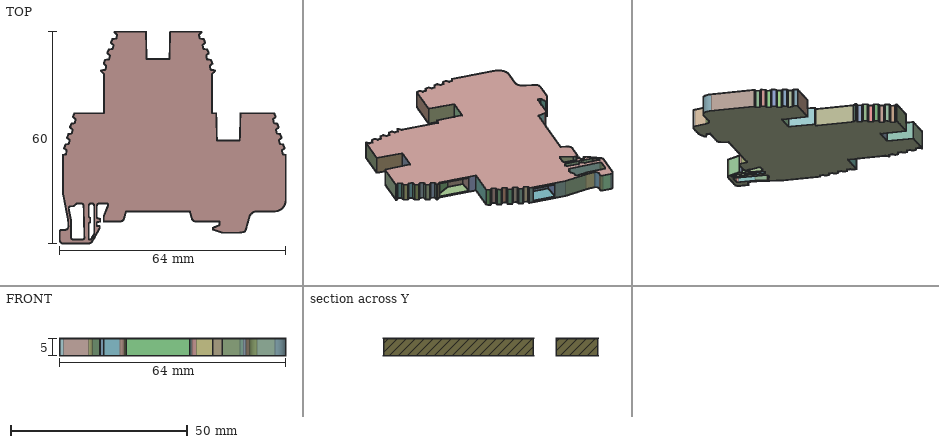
import cadquery as cq

THICKNESS = 5.0
TOP_Y = 60.0
SHELF_Y = 36.95

TOWER_HALF_WIDTH = 15.3
TOWER_WALL_TOP_Y = 48.0

BODY_AXIS_X = 4.6
BODY_HALF_WIDTH = 31.55
BODY_LEFT_X = BODY_AXIS_X - BODY_HALF_WIDTH
BODY_RIGHT_X = BODY_AXIS_X + BODY_HALF_WIDTH
BODY_UNDERSIDE_Y = 9.1
RAIL_SEAT_Y = 6.2
BODY_CORNER_RADIUS = 3.2
RAIL_SEAT_RADIUS = 1.35

CORNER_REACH = 0.03

TOOTH_PITCH = 2.95
TOOTH_TIP = (0.45, -1.1)
TOOTH_ROOT = (-0.3, -1.7)
TOOTH_HEEL = (-0.05, -2.8)
TEETH_PER_FLANK = 4
BARB_NOSE = 0.2
TOWER_TOOTH_STEP = 1.0
TOWER_FIRST_TOOTH = (11.9, 60.9)
BODY_TOOTH_STEP = 0.85
BODY_FIRST_TOOTH = (28.3, SHELF_Y)

CLAW_BOTTOM_Y = 3.1
CLAW_TIP_X = 15.5
CLAW_THROAT_X = 17.35

FOOT_LEFT_X = -27.85
FOOT_SHOULDER_Y = 3.9
LEG_OUTER_X = -25.4
SPRING_FACE_X = -17.3
FOOT_TOP_Y = 11.35
FOOT_FLOOR_Y = 1.2
FOOT_STEP_Y = 10.55
GAP_RIGHT_X = -15.4

SLOT_DEPTH = 7.7
SLOT_MOUTH_HALF = 3.4
SLOT_FLOOR_HALF = 3.2
TOWER_SLOT_X = 0
SHELF_SLOT_X = 19.9

TOWER_POCKET_TOP_Y = 47.95
TOWER_POCKET_BOTTOM_Y = 39.05
TOWER_POCKET_WIDTH = 4.2
TOWER_POCKET_LEDGE = 1.0
TOWER_POCKET_SLOPE_END_Y = 44.05
TOWER_POCKET_DEPTH = 4.0
TOWER_POCKET_DRAFT = 0.4

BODY_POCKET_Y = 20.7
BODY_POCKET_LENGTH = 6.5
BODY_POCKET_WIDTH = 3.85
BODY_POCKET_DEPTH = 3.7
BODY_POCKET_TAPER = 0.65


def flank(first_corner, step):
    """Tooth points down a right-hand flank, as (distance from the axis, Y)."""
    points = []
    for i in range(TEETH_PER_FLANK):
        corner = (first_corner[0] + i * step, first_corner[1] - i * TOOTH_PITCH)
        for du, dy in ((0, 0), TOOTH_TIP, TOOTH_ROOT, TOOTH_HEEL):
            points.append((corner[0] + du, corner[1] + dy))
    return points


def tower_flank():
    """Tower flank with the first tooth cut off by the flat top."""
    corner, tip, *rest = flank(TOWER_FIRST_TOOTH, TOWER_TOOTH_STEP)
    crest_fraction = (corner[1] - TOP_Y) / (corner[1] - tip[1])
    crest = (corner[0] + crest_fraction * (tip[0] - corner[0]), TOP_Y)
    barb_y = TOWER_FIRST_TOOTH[1] - TEETH_PER_FLANK * TOOTH_PITCH
    barb_u = TOWER_FIRST_TOOTH[0] + TEETH_PER_FLANK * TOWER_TOOTH_STEP
    barb = [(barb_u, barb_y), (barb_u + BARB_NOSE, barb_y - BARB_NOSE)]
    wall = [(TOWER_HALF_WIDTH, TOWER_WALL_TOP_Y), (TOWER_HALF_WIDTH, SHELF_Y)]
    return [crest, tip] + rest + barb + wall


def body_flank():
    """Body flank, ending on the vertical side wall."""
    wall_top_y = SHELF_Y - TEETH_PER_FLANK * TOOTH_PITCH
    return flank(BODY_FIRST_TOOTH, BODY_TOOTH_STEP) + [(BODY_HALF_WIDTH, wall_top_y)]


def place(points, axis_x, side):
    """Put flank points on the right (side = 1) or left (side = -1) of an axis."""
    return [(axis_x + side * u, y) for u, y in points]


def prism(points):
    """Solid of full thickness over a closed XY outline, centred on Z = 0."""
    return cq.Workplane("XY").polyline(points).close().extrude(THICKNESS / 2, both=True)


def round_corners(solid, corners, radius):
    """Fillet the through-thickness edges that stand on the given XY points."""
    for x, y in corners:
        low = (x - CORNER_REACH, y - CORNER_REACH, -THICKNESS)
        high = (x + CORNER_REACH, y + CORNER_REACH, THICKNESS)
        solid = solid.edges("|Z").edges(cq.selectors.BoxSelector(low, high)).fillet(radius)
    return solid


def housing():
    """Plate outline with its rounded corners, before any pocket or slot."""
    right = place(tower_flank(), 0, 1) + place(body_flank(), BODY_AXIS_X, 1)
    left = place(tower_flank(), 0, -1) + place(body_flank(), BODY_AXIS_X, -1)
    body_corner = (BODY_RIGHT_X, BODY_UNDERSIDE_Y)
    claw_root = (26.3, BODY_UNDERSIDE_Y)
    claw_heel = (24.7, 3.3)
    claw_sole = [(23.1, CLAW_BOTTOM_Y), (18.2, CLAW_BOTTOM_Y)]
    claw_tip = [(CLAW_TIP_X, 4.0), (CLAW_TIP_X, 4.5)]
    claw_throat = [(CLAW_THROAT_X, 5.25), (CLAW_THROAT_X, RAIL_SEAT_Y)]
    right_seat = (9.8, RAIL_SEAT_Y)
    rail_recess = [(8.95, BODY_UNDERSIDE_Y), (-9.0, BODY_UNDERSIDE_Y)]
    left_seat = (-9.85, RAIL_SEAT_Y)
    gap_edge = [(GAP_RIGHT_X, RAIL_SEAT_Y), (GAP_RIGHT_X, 7.7)]
    gap_top_right = (-13.95, FOOT_TOP_Y)
    gap_top_left = (SPRING_FACE_X, FOOT_TOP_Y)
    nib = [(SPRING_FACE_X, 7.3), (-16.3, 7.0), (-16.3, 6.2), (SPRING_FACE_X, 6.0)]
    catch = [(SPRING_FACE_X, 5.0), (-16.45, 5.0), (-16.45, 4.4)]
    foot_toe = (-18.95, 0)
    foot_heel = (FOOT_LEFT_X, 0)
    foot_shoulder = (FOOT_LEFT_X, FOOT_SHOULDER_Y)
    leg_root = (LEG_OUTER_X, FOOT_SHOULDER_Y)
    leg_bend = (LEG_OUTER_X, 6.35)
    leg_top = (BODY_LEFT_X, 14.3)

    outline = right + [body_corner, claw_root, claw_heel] + claw_sole + claw_tip + claw_throat
    outline += [right_seat] + rail_recess + [left_seat] + gap_edge + [gap_top_right, gap_top_left]
    outline += nib + catch + [foot_toe, foot_heel, foot_shoulder, leg_root, leg_bend, leg_top]
    outline += left[::-1]

    solid = prism(outline)
    fillets = [
        (body_corner, BODY_CORNER_RADIUS),
        (claw_root, 2.2),
        (claw_heel, 1.0),
        (right_seat, RAIL_SEAT_RADIUS),
        (left_seat, RAIL_SEAT_RADIUS),
        (gap_top_right, 0.3),
        (gap_top_left, 0.65),
        (catch[1], 0.25),
        (foot_toe, 1.35),
        (foot_heel, 1.0),
        (foot_shoulder, 0.5),
        (leg_root, 0.95),
        (leg_bend, 14.1),
    ]
    for corner, radius in fillets:
        solid = round_corners(solid, [corner], radius)
    return solid


def wire_slot(center_x, mouth_y):
    """Tapered wire entry that opens upward at mouth_y."""
    floor_y = mouth_y - SLOT_DEPTH
    return prism([
        (center_x - SLOT_MOUTH_HALF, mouth_y),
        (center_x + SLOT_MOUTH_HALF, mouth_y),
        (center_x + SLOT_FLOOR_HALF, floor_y),
        (center_x - SLOT_FLOOR_HALF, floor_y),
    ])


def foot_window():
    """Wide opening between the outer leg and the spring rib."""
    lower = [(-24.6, FOOT_FLOOR_Y), (-20.9, FOOT_FLOOR_Y)]
    upper_right = (-21.1, FOOT_TOP_Y)
    upper_left = (-25.3, FOOT_STEP_Y)
    step = [(-23.9, FOOT_STEP_Y), (-23.05, FOOT_TOP_Y)]
    leg_side = [(-25.2, 9.75), (-24.6, 6.5)]
    window = prism(lower + [upper_right] + step[::-1] + [upper_left, *leg_side])
    window = round_corners(window, [upper_right], 0.65)
    window = round_corners(window, step, 0.5)
    return round_corners(window, lower + [upper_left], 0.45)


def foot_slit():
    """Narrow opening beside the rib, pinched by a bump on its left edge."""
    left_x = -19.6
    right_x = -18.1
    bump_x = -19.15
    top = [(left_x, FOOT_TOP_Y), (right_x, FOOT_TOP_Y)]
    bump = [(left_x, 5.75), (bump_x, 6.1), (bump_x, 7.25), (left_x, 7.55)]
    bottom = [(left_x, FOOT_FLOOR_Y), (-19.0, FOOT_FLOOR_Y), (right_x, 2.75)]
    slit = prism(bottom + top[::-1] + bump[::-1])
    return round_corners(slit, top, 0.6)


def tower_pocket():
    """Pocket with a short straight ledge, then a slope down to a flat back."""
    mouth_x = -TOWER_HALF_WIDTH
    back_x = mouth_x + TOWER_POCKET_DEPTH
    return (
        cq.Workplane("XY")
        .moveTo(mouth_x, TOWER_POCKET_TOP_Y)
        .lineTo(mouth_x + TOWER_POCKET_LEDGE, TOWER_POCKET_TOP_Y)
        .lineTo(back_x, TOWER_POCKET_SLOPE_END_Y)
        .lineTo(back_x, TOWER_POCKET_BOTTOM_Y + TOWER_POCKET_DRAFT)
        .lineTo(mouth_x, TOWER_POCKET_BOTTOM_Y)
        .close()
        .extrude(TOWER_POCKET_WIDTH / 2, both=True)
    )


def body_pocket():
    """Pocket whose four walls close in evenly toward its back."""
    return (
        cq.Workplane("YZ", origin=(BODY_LEFT_X, BODY_POCKET_Y, 0))
        .rect(BODY_POCKET_LENGTH, BODY_POCKET_WIDTH)
        .workplane(offset=BODY_POCKET_DEPTH)
        .rect(BODY_POCKET_LENGTH - 2 * BODY_POCKET_TAPER, BODY_POCKET_WIDTH - 2 * BODY_POCKET_TAPER)
        .loft(ruled=True)
    )


result = (
    housing()
    .cut(wire_slot(TOWER_SLOT_X, TOP_Y))
    .cut(wire_slot(SHELF_SLOT_X, SHELF_Y))
    .cut(foot_window())
    .cut(foot_slit())
    .cut(tower_pocket())
    .cut(body_pocket())
)